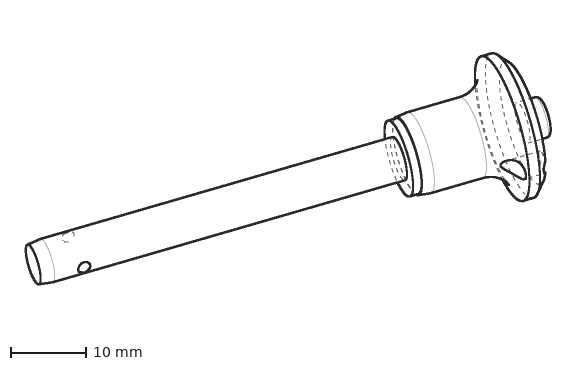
import cadquery as cq
import math


shank_radius = 3.0
shank_length = 52.0
tip_radius = 2.75
tip_taper_length = 1.9

ball_radius = 1.0
ball_protrusion = 0.5
ball_to_tip = 6.1

collar_radius = 5.25
collar_length = 1.2
sleeve_taper_length = 1.7
sleeve_taper_radius = 5.4
sleeve_radius = 5.6
sleeve_length = 10.3

head_radius = 10.0
flare_radius = head_radius - sleeve_radius
rim_width = 1.5
edge_chamfer_length = 1.4
edge_chamfer_depth = 1.5

button_radius = 2.8
button_length = 3.1
button_round = 0.5

tether_hole_diameter = 3.0
tether_hole_offset = 7.5

rim_start = sleeve_length + flare_radius
rim_end = rim_start + rim_width
head_back = rim_end + edge_chamfer_length
button_end = head_back + button_length

DIAGONAL = math.sqrt(0.5)


def make_pin_body():
    """Revolve the complete turned profile of shank, handle and button."""
    flare_middle = (
        head_radius - flare_radius * DIAGONAL,
        rim_start - flare_radius * (1 - DIAGONAL),
    )
    button_middle = (
        button_radius - button_round * (1 - DIAGONAL),
        button_end - button_round * (1 - DIAGONAL),
    )
    profile = (
        cq.Workplane("XY")
        .moveTo(0, -shank_length)
        .lineTo(tip_radius, -shank_length)
        .lineTo(shank_radius, tip_taper_length - shank_length)
        .lineTo(shank_radius, 0)
        .lineTo(collar_radius, 0)
        .lineTo(collar_radius, collar_length)
        .lineTo(sleeve_taper_radius, collar_length)
        .lineTo(sleeve_radius, collar_length + sleeve_taper_length)
        .lineTo(sleeve_radius, sleeve_length)
        .threePointArc(flare_middle, (head_radius, rim_start))
        .lineTo(head_radius, rim_end)
        .lineTo(head_radius - edge_chamfer_depth, head_back)
        .lineTo(button_radius, head_back)
        .lineTo(button_radius, button_end - button_round)
        .threePointArc(button_middle, (button_radius - button_round, button_end))
        .lineTo(0, button_end)
        .close()
    )
    return profile.revolve(360, (0, 0, 0), (0, 1, 0))


def add_locking_balls(body):
    """Join two balls that stand partly proud of the shank near its tip."""
    ball_offset = shank_radius + ball_protrusion - ball_radius
    ball_y = ball_to_tip - shank_length
    for side in (-1, 1):
        ball = cq.Workplane("XY").sphere(ball_radius).translate((side * ball_offset, ball_y, 0))
        body = body.union(ball)
    return body


def cut_tether_hole(body):
    """Drill the tether hole through the head on the +X side."""
    drill = (
        cq.Workplane("XZ", origin=(tether_hole_offset, head_back, 0))
        .circle(tether_hole_diameter / 2)
        .extrude(head_back)
    )
    return body.cut(drill)


result = cut_tether_hole(add_locking_balls(make_pin_body()))